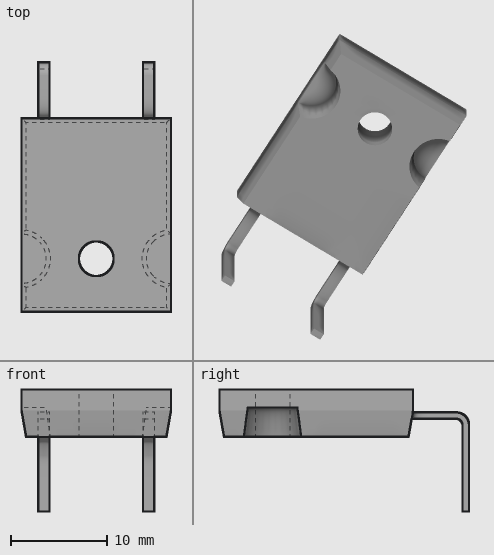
import cadquery as cq
import math

body_width = 15.59
body_length = 20.2
body_height = 4.95
straight_height = 2.2
draft_angle = 10.0

hole_diameter = 3.6
hole_y = 5.55
notch_top_depth = 1.87
notch_top_radius = 2.58
notch_bottom_radius = 3.02

overall_length = 26.02
overall_height = 12.72
lead_spacing = 10.93
lead_width = 1.2
lead_thickness = 0.7
lead_top_depth = 2.37
bend_outer_radius = 1.38
bend_inner_radius = bend_outer_radius - lead_thickness
lead_embed = 1.05


def make_body():
    upper = (
        cq.Workplane("XY")
        .center(0, body_length / 2)
        .rect(body_width, body_length)
        .extrude(-straight_height)
    )
    lower = (
        cq.Workplane("XY", origin=(0, 0, -straight_height))
        .center(0, body_length / 2)
        .rect(body_width, body_length)
        .extrude(-(body_height - straight_height), taper=draft_angle)
    )
    return upper.union(lower)


def make_notch(side):
    """Cone on a side face, widening down to the bottom of the body."""
    return cq.Workplane(cq.Solid.makeCone(
        notch_top_radius,
        notch_bottom_radius,
        body_height - notch_top_depth,
        pnt=cq.Vector(side * body_width / 2, hole_y, -notch_top_depth),
        dir=cq.Vector(0, 0, -1),
    ))


def make_lead(side):
    """Flat strip with one rounded right-angle bend, drawn in the YZ plane."""
    start_y = body_length - lead_embed
    bend_y = overall_length - bend_outer_radius
    bend_z = -lead_top_depth - bend_outer_radius
    inner_y = overall_length - lead_thickness
    underside_z = -lead_top_depth - lead_thickness
    diagonal = math.sqrt(0.5)
    outer_mid = (bend_y + bend_outer_radius * diagonal, bend_z + bend_outer_radius * diagonal)
    inner_mid = (bend_y + bend_inner_radius * diagonal, bend_z + bend_inner_radius * diagonal)
    return (
        cq.Workplane("YZ", origin=(side * lead_spacing / 2, 0, 0))
        .moveTo(start_y, -lead_top_depth)
        .lineTo(bend_y, -lead_top_depth)
        .threePointArc(outer_mid, (overall_length, bend_z))
        .lineTo(overall_length, -overall_height)
        .lineTo(inner_y, -overall_height)
        .lineTo(inner_y, bend_z)
        .threePointArc(inner_mid, (bend_y, underside_z))
        .lineTo(start_y, underside_z)
        .close()
        .extrude(lead_width / 2, both=True)
    )


hole = (
    cq.Workplane("XY")
    .center(0, hole_y)
    .circle(hole_diameter / 2)
    .extrude(-body_height)
)

result = make_body().cut(hole)
for side in (-1, 1):
    result = result.cut(make_notch(side)).union(make_lead(side))